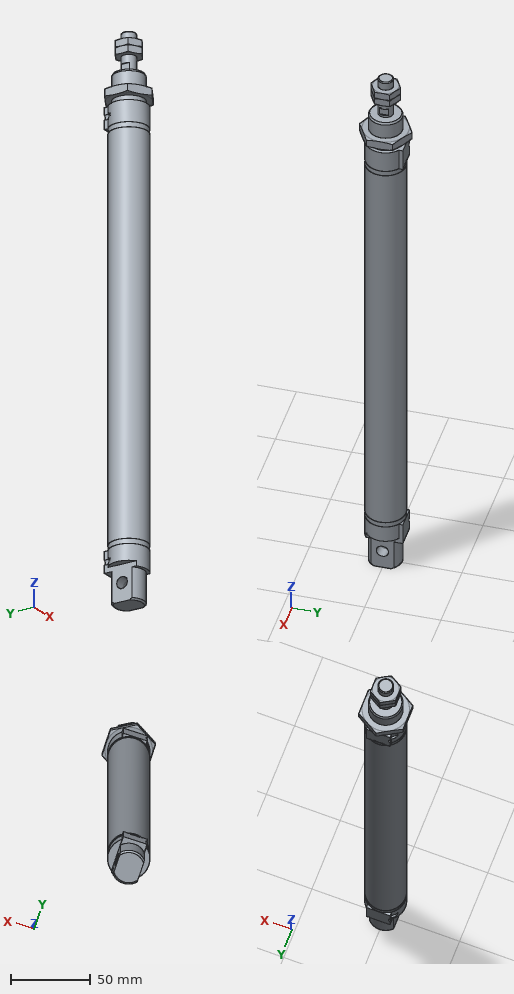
import cadquery as cq
import math


total_length = 389.0
rod_tip_to_nose = 28.0
rod_tip_to_shoulder = 50.0
front_cap_length = 15.0
rear_cap_length = 15.0
tenon_length = 22.0
neck_length = 3.5

nose_top = total_length - rod_tip_to_nose
shoulder = total_length - rod_tip_to_shoulder
front_cap_bottom = shoulder - front_cap_length
rear_cap_bottom = tenon_length
rear_cap_top = rear_cap_bottom + rear_cap_length

cap_diameter = 26.8
tube_diameter = 26.8
neck_diameter = 26.4
nose_diameter = 22.0
nose_tip_diameter = 20.38
nose_chamfer_radial = (nose_diameter - nose_tip_diameter) / 2
nose_chamfer_angle = 30.0
nose_chamfer_length = nose_chamfer_radial / math.tan(math.radians(nose_chamfer_angle))

pad_width = 16.0
pad_reach = cap_diameter / 2
screw_hole_diameter = 4.0
screw_hole_x = -9.0
screw_hole_bottom_y = 7.0
front_screw_depth = 6.9
rear_screw_height = 7.3
front_screw_z = shoulder - front_screw_depth
rear_screw_z = rear_cap_bottom + rear_screw_height

tenon_diameter = 22.0
tenon_thickness = 16.0
tenon_chamfer = 1.2
flat_run_up = 3.5
eye_diameter = 8.0
eye_height = 13.0

rod_diameter = 10.0
rod_tip_diameter = 8.65
rod_tip_chamfer = (rod_diameter - rod_tip_diameter) / 2
rod_bottom = front_cap_bottom
wrench_flat_width = 8.0
wrench_flat_length = 5.0
wrench_flat_gap = 1.5
wrench_flat_bottom = nose_top + wrench_flat_gap

nut_chamfer_angle = 15.0
hex_sides = 6
hex_half_angle = 180 / hex_sides
rod_nut_width = 17.0
rod_nut_height = 5.0
rod_nut_count = 2
rod_tip_to_nuts = 6.0
rod_nuts_top = total_length - rod_tip_to_nuts
mount_nut_width = 30.0
mount_nut_height = 6.0
mount_nut_gap = 4.0
mount_nut_bottom = shoulder + mount_nut_gap


def cylinder(diameter, bottom, top):
    return cq.Workplane("XY").workplane(offset=bottom).circle(diameter / 2).extrude(top - bottom)


def block(x_size, y_size, bottom, top, center=(0, 0)):
    return (
        cq.Workplane("XY")
        .workplane(offset=bottom)
        .center(*center)
        .rect(x_size, y_size)
        .extrude(top - bottom)
    )


def cap(bottom, top):
    """Round cap with a square-cornered pad on its +Y side."""
    pad = block(pad_width, pad_reach, bottom, top, center=(0, pad_reach / 2))
    return cylinder(cap_diameter, bottom, top).union(pad)


def screw_hole(z):
    depth = pad_reach - screw_hole_bottom_y
    return (
        cq.Workplane("XZ", origin=(screw_hole_x, pad_reach, z))
        .circle(screw_hole_diameter / 2)
        .extrude(depth)
    )


def side_flats(diameter, thickness, bottom, top):
    """Material outside two parallel faces that are `thickness` apart along X."""
    return block(2 * diameter, 2 * diameter, bottom, top).cut(
        block(thickness, 2 * diameter, bottom, top)
    )


def make_nose():
    nose = cylinder(nose_diameter, shoulder, nose_top)
    return nose.faces(">Z").edges().chamfer(nose_chamfer_length, nose_chamfer_radial)


def make_tube():
    """Tube with a shallow neck next to each cap."""
    necks = cylinder(neck_diameter, rear_cap_top, front_cap_bottom)
    barrel = cylinder(tube_diameter, rear_cap_top + neck_length, front_cap_bottom - neck_length)
    return necks.union(barrel)


def make_rear_end():
    tenon = cylinder(tenon_diameter, 0, rear_cap_bottom).faces("<Z").edges().chamfer(tenon_chamfer)
    flats = side_flats(cap_diameter, tenon_thickness, 0, rear_cap_bottom + flat_run_up)
    eye = (
        cq.Workplane("YZ", origin=(0, 0, eye_height))
        .circle(eye_diameter / 2)
        .extrude(tenon_thickness, both=True)
    )
    return cap(rear_cap_bottom, rear_cap_top).union(tenon).cut(flats).cut(eye)


def make_housing():
    body = make_tube().union(cap(front_cap_bottom, shoulder)).union(make_nose()).union(make_rear_end())
    for z in (front_screw_z, rear_screw_z):
        body = body.cut(screw_hole(z))
    return body.cut(cylinder(rod_diameter, rod_bottom, nose_top))


def make_rod():
    rod = cylinder(rod_diameter, rod_bottom, total_length).faces(">Z").edges().chamfer(rod_tip_chamfer)
    flats_top = wrench_flat_bottom + wrench_flat_length
    return rod.cut(side_flats(rod_diameter, wrench_flat_width, wrench_flat_bottom, flats_top))


def hex_nut(width, height, bore, bottom):
    """Hexagon nut with two flats facing +X and -X, its corners turned off by a cone at both ends."""
    across_corners = width / math.cos(math.radians(hex_half_angle))
    corner_overhang = (across_corners - width) / 2
    chamfer_height = corner_overhang * math.tan(math.radians(nut_chamfer_angle))
    prism = cq.Workplane("XY").polygon(hex_sides, across_corners).extrude(height)
    prism = prism.rotate((0, 0, 0), (0, 0, 1), hex_half_angle).translate((0, 0, bottom))
    turned = (
        cylinder(across_corners, bottom, bottom + height)
        .edges("%CIRCLE")
        .chamfer(chamfer_height, corner_overhang)
    )
    return prism.intersect(turned).cut(cylinder(bore, bottom, bottom + height))


def make_rod_nut(bottom):
    return hex_nut(rod_nut_width, rod_nut_height, rod_diameter, bottom)


def make_mount_nut():
    return hex_nut(mount_nut_width, mount_nut_height, nose_diameter, mount_nut_bottom)


housing = make_housing()
rod = make_rod()
mount_nut = make_mount_nut()
rod_nuts = [make_rod_nut(rod_nuts_top - (i + 1) * rod_nut_height) for i in range(rod_nut_count)]

result = cq.Compound.makeCompound(
    [housing.val(), rod.val(), mount_nut.val(), *[nut.val() for nut in rod_nuts]]
)